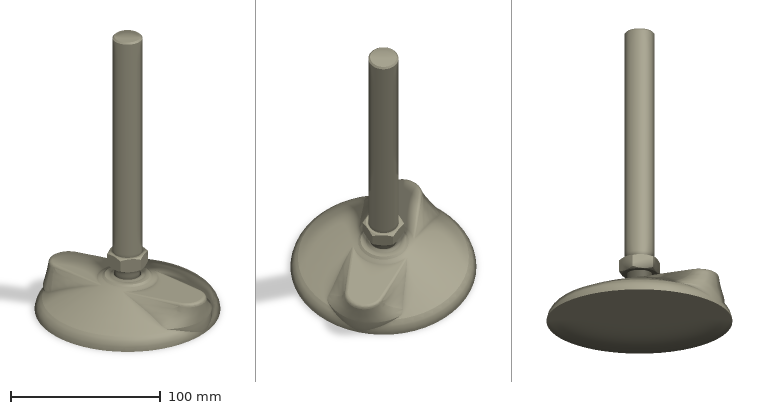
import cadquery as cq
import math

TOTAL_HEIGHT = 205.0

PAD_RADIUS = 124.0 / 2
RIM_MID_RADIUS = 60.7
RIM_MID_HEIGHT = 4.7
DOME_RADIUS = 114.0 / 2
DOME_BASE_HEIGHT = 8.8
DOME_TOP_HEIGHT = 25.0
DOME_BULGE = 0.6
COLLAR_RADIUS = 16.8
COLLAR_FACE_RADIUS = 15.2
COLLAR_HEIGHT = 26.2
LIP_BASE_RADIUS = 23.5 / 2
LIP_RADIUS = 20.0 / 2
LIP_HEIGHT = 26.9
BORE_RADIUS = 18.2 / 2
BORE_FLOOR = 12.3

LUG_TOP = 23.8
LUG_TOP_ROOT_Y = 19.9
LUG_FOOT_ROOT_Y = 47.2
LUG_TOP_END_RADIUS = 13.1
LUG_FOOT_END_RADIUS = 31.8
LUG_FOOT_HEIGHT = 9.8
LUG_END_TOP_X = 60.5
LUG_END_FOOT_X = 62.0
LUG_EDGE_RADIUS = 2.5
FLARE_POWER = 1.9
FLARE_SECTIONS = 4

STUD_RADIUS = 20.0 / 2
STUD_TIP_RADIUS = 17.8 / 2
SHANK_RADIUS = 17.0 / 2
HEX_BOTTOM = 33.6
HEX_TOP = 43.7
HEX_ACROSS_FLATS = 24.0
HEX_TURN = -16.5
HEX_FACE_RADIUS = 23.5 / 2
HEX_CHAMFER_ANGLE = 30.0


def make_pad_body():
    """Rim, shallow dome and collar as one turned shape."""
    dome_mid_radius = (DOME_RADIUS + COLLAR_RADIUS) / 2
    dome_mid_height = (DOME_BASE_HEIGHT + DOME_TOP_HEIGHT) / 2 + DOME_BULGE
    return (
        cq.Workplane("XZ")
        .lineTo(PAD_RADIUS, 0)
        .threePointArc((RIM_MID_RADIUS, RIM_MID_HEIGHT), (DOME_RADIUS, DOME_BASE_HEIGHT))
        .threePointArc((dome_mid_radius, dome_mid_height), (COLLAR_RADIUS, DOME_TOP_HEIGHT))
        .lineTo(COLLAR_FACE_RADIUS, COLLAR_HEIGHT)
        .lineTo(LIP_BASE_RADIUS, COLLAR_HEIGHT)
        .lineTo(LIP_RADIUS, LIP_HEIGHT)
        .lineTo(0, LIP_HEIGHT)
        .close()
        .revolve(360, (0, 0, 0), (0, 1, 0))
    )


def lug_outline(height):
    """Horizontal outline of the +X lug: tapering sides tangent to a round end."""
    drop = min(1.0, (LUG_TOP - height) / (LUG_TOP - LUG_FOOT_HEIGHT))
    widening = drop ** FLARE_POWER
    end_radius = LUG_TOP_END_RADIUS + (LUG_FOOT_END_RADIUS - LUG_TOP_END_RADIUS) * widening
    root_y = LUG_TOP_ROOT_Y + (LUG_FOOT_ROOT_Y - LUG_TOP_ROOT_Y) * drop
    end_x = LUG_END_FOOT_X + (LUG_END_TOP_X - LUG_END_FOOT_X) * height / LUG_TOP
    center_x = end_x - end_radius
    root_distance = math.hypot(center_x, root_y)
    taper = math.acos(end_radius / root_distance) - math.atan2(center_x, root_y)
    tangent_x = center_x + end_radius * math.sin(taper)
    tangent_y = end_radius * math.cos(taper)
    return (
        cq.Workplane("XY", origin=(0, 0, height))
        .moveTo(0, -root_y)
        .lineTo(tangent_x, -tangent_y)
        .threePointArc((end_x, 0), (tangent_x, tangent_y))
        .lineTo(0, root_y)
        .close()
        .wires()
        .val()
    )


def make_lug():
    """Lug with concave flared flanks above a straight foot, and a rounded top edge."""
    step = (LUG_TOP - LUG_FOOT_HEIGHT) / FLARE_SECTIONS
    heights = [LUG_FOOT_HEIGHT + step * index for index in range(FLARE_SECTIONS + 1)]
    flare = cq.Workplane(cq.Solid.makeLoft([lug_outline(height) for height in heights]))
    top_edges = flare.faces(">Z").edges("not <X")
    flare = top_edges.fillet(LUG_EDGE_RADIUS)
    foot_outlines = [lug_outline(0), lug_outline(LUG_FOOT_HEIGHT)]
    foot = cq.Workplane(cq.Solid.makeLoft(foot_outlines, True))
    return flare.union(foot)


def make_pad():
    pad = make_pad_body()
    lug = make_lug()
    for angle in (0, 180):
        pad = pad.union(lug.rotate((0, 0, 0), (0, 0, 1), angle))
    bore = cq.Workplane("XY", origin=(0, 0, BORE_FLOOR)).circle(BORE_RADIUS).extrude(LIP_HEIGHT)
    return pad.cut(bore)


def make_hex():
    """Hexagon with its corners chamfered at both ends."""
    corner_radius = HEX_ACROSS_FLATS / math.sqrt(3)
    chamfer_height = (corner_radius - HEX_FACE_RADIUS) * math.tan(math.radians(HEX_CHAMFER_ANGLE))
    prism = (
        cq.Workplane("XY", origin=(0, 0, HEX_BOTTOM))
        .polygon(6, 2 * corner_radius)
        .extrude(HEX_TOP - HEX_BOTTOM)
        .rotate((0, 0, 0), (0, 0, 1), HEX_TURN)
    )
    envelope = (
        cq.Workplane("XZ")
        .moveTo(0, HEX_BOTTOM)
        .lineTo(HEX_FACE_RADIUS, HEX_BOTTOM)
        .lineTo(corner_radius, HEX_BOTTOM + chamfer_height)
        .lineTo(corner_radius, HEX_TOP - chamfer_height)
        .lineTo(HEX_FACE_RADIUS, HEX_TOP)
        .lineTo(0, HEX_TOP)
        .close()
        .revolve(360, (0, 0, 0), (0, 1, 0))
    )
    return prism.intersect(envelope)


def make_stud():
    rod = (
        cq.Workplane("XY", origin=(0, 0, HEX_TOP))
        .circle(STUD_RADIUS)
        .extrude(TOTAL_HEIGHT - HEX_TOP)
        .faces(">Z")
        .chamfer(STUD_RADIUS - STUD_TIP_RADIUS)
    )
    shank = (
        cq.Workplane("XY", origin=(0, 0, BORE_FLOOR))
        .circle(SHANK_RADIUS)
        .extrude(HEX_BOTTOM - BORE_FLOOR)
    )
    return make_hex().union(rod).union(shank)


pad = make_pad()
stud = make_stud()

result = cq.Compound.makeCompound([pad.val(), stud.val()])